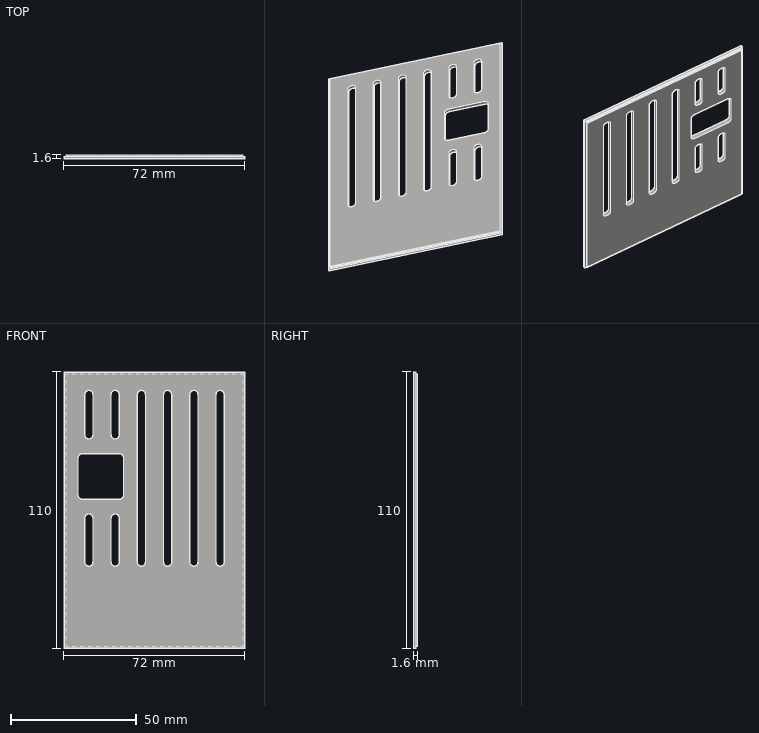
import cadquery as cq

PLATE_WIDTH = 72.0
PLATE_HEIGHT = 110.0
PLATE_THICKNESS = 1.6
FRONT_LAYER_THICKNESS = 1.0
BACK_LAYER_THICKNESS = PLATE_THICKNESS - FRONT_LAYER_THICKNESS
RIM_WIDTH = 0.75

SLOT_COUNT = 6
SHORT_COLUMN_COUNT = 2
SLOT_WIDTH = 3.1
SLOT_PITCH = 10.45
SLOT_TOP = 47.7
SLOT_BOTTOM = -22.2
UPPER_SLOT_BOTTOM = 28.45
LOWER_SLOT_TOP = -1.5

WINDOW_SIZE = 18.0
WINDOW_CORNER_RADIUS = 1.6
WINDOW_CENTER_X = -21.37
WINDOW_CENTER_Z = 13.47

FRONT_Y = -PLATE_THICKNESS / 2


def block(width, height, thickness, front_y):
    """Box centred on X and Z that extends toward +Y from front_y."""
    return cq.Workplane("XY").box(width, thickness, height).translate((0, front_y + thickness / 2, 0))


def plate():
    front_layer = block(PLATE_WIDTH, PLATE_HEIGHT, FRONT_LAYER_THICKNESS, FRONT_Y)
    back_layer = block(
        PLATE_WIDTH - 2 * RIM_WIDTH,
        PLATE_HEIGHT - 2 * RIM_WIDTH,
        BACK_LAYER_THICKNESS,
        FRONT_Y + FRONT_LAYER_THICKNESS,
    )
    return front_layer.union(back_layer)


def column_x(column):
    return (column - (SLOT_COUNT - 1) / 2) * SLOT_PITCH


def slot_cutter(x, bottom, top):
    """Vertical round-ended slot through the whole plate thickness."""
    return (
        cq.Workplane("XZ")
        .center(x, (bottom + top) / 2)
        .slot2D(top - bottom, SLOT_WIDTH, 90)
        .extrude(PLATE_THICKNESS, both=True)
    )


def cut_slots(body):
    for column in range(SLOT_COUNT):
        x = column_x(column)
        if column < SHORT_COLUMN_COUNT:
            body = body.cut(slot_cutter(x, UPPER_SLOT_BOTTOM, SLOT_TOP))
            body = body.cut(slot_cutter(x, SLOT_BOTTOM, LOWER_SLOT_TOP))
        else:
            body = body.cut(slot_cutter(x, SLOT_BOTTOM, SLOT_TOP))
    return body


def cut_window(body):
    window = (
        cq.Workplane("XY")
        .box(WINDOW_SIZE, 2 * PLATE_THICKNESS, WINDOW_SIZE)
        .edges("|Y")
        .fillet(WINDOW_CORNER_RADIUS)
        .translate((WINDOW_CENTER_X, 0, WINDOW_CENTER_Z))
    )
    return body.cut(window)


result = cut_window(cut_slots(plate()))